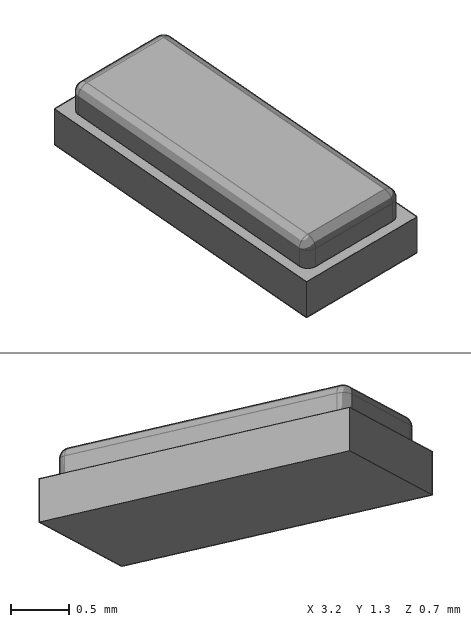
import cadquery as cq

base_length = 3.2
base_width = 1.3
base_height = 0.4

total_height = 0.7
lid_margin = 0.1
lid_radius = 0.1
lid_length = base_length - 2 * lid_margin
lid_width = base_width - 2 * lid_margin
lid_height = total_height - base_height


def make_base():
    """Plain rectangular block standing on Z = 0."""
    return cq.Workplane("XY").box(base_length, base_width, base_height, centered=(True, True, False))


def make_lid():
    """Block on top of the base with rounded upright corners and a rounded top rim."""
    lid = (
        cq.Workplane("XY")
        .workplane(offset=base_height)
        .box(lid_length, lid_width, lid_height, centered=(True, True, False))
    )
    return lid.edges("|Z or >Z").fillet(lid_radius)


result = make_base().union(make_lid())